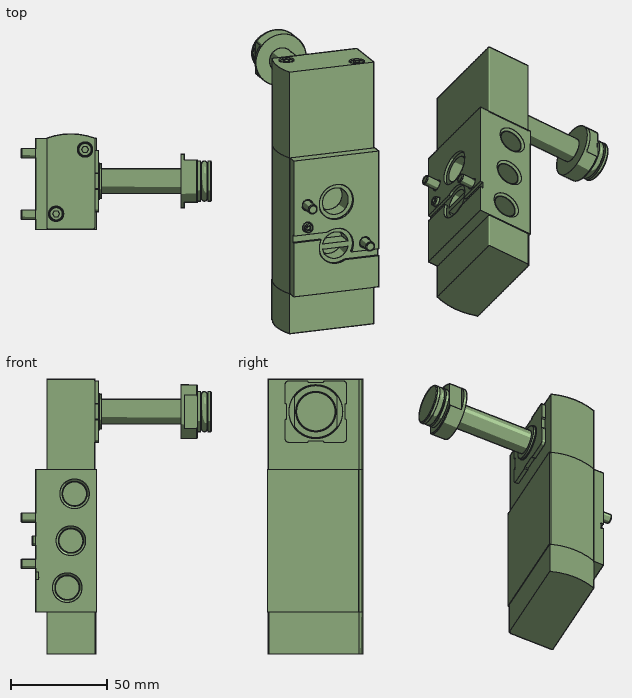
import cadquery as cq

TOTAL_LENGTH_X = 99.05
TOTAL_WIDTH_Y = 49.8
TOTAL_HEIGHT_Z = 143.0

BLOCK_DEPTH = 31.65
BLOCK_WIDTH = 47.4
BLOCK_HEIGHT = 74.2
BLOCK_MID_Z = BLOCK_HEIGHT / 2

PORT_DIAMETER = 12.4
PORT_MOUTH_FLOOR_DIAMETER = 13.0
PORT_MOUTH_DIAMETER = 15.4
PORT_MOUTH_DEPTH = 1.2
PORT_DEPTH = 14.0
PORT_MIDDLE_X = 18.3
PORT_STEP_X = 1.9
PORT_STEP_Z = 24.4

OUTLET_SPACING = 24.0
OUTLET_DIAMETER = 14.4
OUTLET_DEPTH = 10.5
SEAL_RECESS_DIAMETER = 19.0
SEAL_RECESS_DEPTH = 1.5
UPPER_OUTLET_Z = BLOCK_MID_Z + OUTLET_SPACING / 2
LOWER_OUTLET_Z = BLOCK_MID_Z - OUTLET_SPACING / 2
OUTLET_BAR_WIDTH = 2.9

VENT_WIDTH = 3.8
VENT_OFFSET_Z = 6.2

PIN_DIAMETER = 5.0
PIN_LENGTH = 7.65
PIN_CHAMFER = 0.5
PIN_HOLE_DIAMETER = 6.0
PIN_OFFSET_Y = 16.0
STUD_DIAMETER = 5.0
STUD_LENGTH = 2.0
STUD_CHAMFER = 0.5
STUD_HOLE_DIAMETER = 5.5
STUD_SOCKET_DIAMETER = 2.4
STUD_SOCKET_DEPTH = 1.5
PIN_GAP_DEPTH = 1.0

COVER_X_MIN = 5.78
COVER_X_MAX = 30.7
HEAD_HEIGHT = 46.9
CAP_PAD_X_MAX = 31.4
CAP_HEIGHT = TOTAL_HEIGHT_Z - BLOCK_HEIGHT - HEAD_HEIGHT
COVER_Y_MIN = -23.3
COVER_Y_EDGE = 23.9
COVER_Y_CROWN = TOTAL_WIDTH_Y - BLOCK_WIDTH / 2
COVER_EDGE_RADIUS = 0.5

SCREW_HOLE_DIAMETER = 8.0
SCREW_HOLE_DEPTH = 1.5
SCREW_HEAD_DIAMETER = 7.0
SCREW_HEAD_DROP = 0.4
SCREW_HEAD_CHAMFER = 0.3
SCREW_SOCKET_DIAMETER = 3.6
SCREW_SOCKET_DEPTH = 2.0
SCREW_CENTRES = [(25.65, 17.9), (10.6, -15.5)]

TUBE_Y = 1.5
TUBE_Z = 104.2
TUBE_DIAMETER = 13.0
PLATE_SIZE = 32.0
PLATE_X_MAX = 32.65
PLATE_CORNER_RADIUS = 2.0
PLATE_NOTCH_WIDTH = 8.5
PLATE_NOTCH_DEPTH = 0.8
PLATE_NOTCH_SLOPE = 0.4
COLLAR_BASE_DIAMETER = 19.0
COLLAR_BASE_X_MAX = 33.15
COLLAR_DIAMETER = 18.2
COLLAR_X_MAX = 34.1

NUT_X_MIN = 75.5
NUT_DIAMETER = 28.0
NUT_FLANGE_THICKNESS = 1.75
NUT_X_MAX = 84.2
NUT_CHAMFER = 0.5
NUT_ACROSS_FLATS = 22.0
TUBE_END_X = TOTAL_LENGTH_X - PIN_LENGTH
SEAL_END_DIAMETER = 21.0
SEAL_END_CHAMFER = 0.5
SEAL_GROOVE_DIAMETER = 17.0
SEAL_GROOVE_X_MIN = 85.8
SEAL_GROOVE_X_MAX = 89.5
RING_THICKNESS = 3.0


def cylinder_x(x_start, x_end, diameter, y, z):
    return cq.Workplane("YZ", origin=(x_start, y, z)).circle(diameter / 2).extrude(x_end - x_start)


def box_between(x_range, y_range, z_range):
    size = [end - start for start, end in (x_range, y_range, z_range)]
    corner = (x_range[0], y_range[0], z_range[0])
    return cq.Workplane("XY").box(*size, centered=False).translate(corner)


def port(x, z):
    face = cq.Workplane("XZ", origin=(x, -BLOCK_WIDTH / 2, z))
    bore = face.circle(PORT_DIAMETER / 2).extrude(-PORT_DEPTH)
    mouth = (
        face.circle(PORT_MOUTH_DIAMETER / 2)
        .workplane(offset=-PORT_MOUTH_DEPTH)
        .circle(PORT_MOUTH_FLOOR_DIAMETER / 2)
        .loft()
    )
    return bore.union(mouth)


def pin(y, z, diameter, length, chamfer):
    return cylinder_x(-length, PIN_GAP_DEPTH, diameter, y, z).faces("<X").chamfer(chamfer)


def curved_prism(z_min, height):
    return (
        cq.Workplane("XY", origin=(0, 0, z_min))
        .moveTo(COVER_X_MIN, COVER_Y_MIN)
        .lineTo(COVER_X_MAX, COVER_Y_MIN)
        .lineTo(COVER_X_MAX, COVER_Y_EDGE)
        .threePointArc(((COVER_X_MIN + COVER_X_MAX) / 2, COVER_Y_CROWN), (COVER_X_MIN, COVER_Y_EDGE))
        .close()
        .extrude(height)
    )


def outlets():
    upper = cylinder_x(0, OUTLET_DEPTH, OUTLET_DIAMETER, 0, UPPER_OUTLET_Z)
    lower = cylinder_x(0, OUTLET_DEPTH, OUTLET_DIAMETER, 0, LOWER_OUTLET_Z)
    bar = box_between(
        (0, OUTLET_DEPTH),
        (-OUTLET_DIAMETER, OUTLET_DIAMETER),
        (LOWER_OUTLET_Z - OUTLET_BAR_WIDTH / 2, LOWER_OUTLET_Z + OUTLET_BAR_WIDTH / 2),
    )
    cutter = upper.union(lower.cut(bar))
    for z in (UPPER_OUTLET_Z, LOWER_OUTLET_Z):
        cutter = cutter.union(cylinder_x(0, SEAL_RECESS_DEPTH, SEAL_RECESS_DIAMETER, 0, z))
    return cutter


def vent(side):
    middle_z = LOWER_OUTLET_Z + side * VENT_OFFSET_Z
    return box_between(
        (0, SEAL_RECESS_DEPTH),
        sorted((0, side * BLOCK_WIDTH / 2)),
        (middle_z - VENT_WIDTH / 2, middle_z + VENT_WIDTH / 2),
    )


def add_pins(block):
    for y, z in ((PIN_OFFSET_Y, UPPER_OUTLET_Z), (-PIN_OFFSET_Y, LOWER_OUTLET_Z)):
        block = block.cut(cylinder_x(0, PIN_GAP_DEPTH, PIN_HOLE_DIAMETER, y, z))
        block = block.union(pin(y, z, PIN_DIAMETER, PIN_LENGTH, PIN_CHAMFER))

    block = block.cut(cylinder_x(0, PIN_GAP_DEPTH, STUD_HOLE_DIAMETER, PIN_OFFSET_Y, BLOCK_MID_Z))
    block = block.union(pin(PIN_OFFSET_Y, BLOCK_MID_Z, STUD_DIAMETER, STUD_LENGTH, STUD_CHAMFER))
    socket_end = STUD_SOCKET_DEPTH - STUD_LENGTH
    socket = cylinder_x(-STUD_LENGTH, socket_end, STUD_SOCKET_DIAMETER, PIN_OFFSET_Y, BLOCK_MID_Z)
    return block.cut(socket)


def valve_block():
    half_width = BLOCK_WIDTH / 2
    block = box_between((0, BLOCK_DEPTH), (-half_width, half_width), (0, BLOCK_HEIGHT))
    block = block.union(curved_prism(0, BLOCK_HEIGHT))
    for row in (-1, 0, 1):
        block = block.cut(port(PORT_MIDDLE_X + row * PORT_STEP_X, BLOCK_MID_Z + row * PORT_STEP_Z))
    block = block.cut(outlets())
    for side in (-1, 1):
        block = block.cut(vent(side))
    return add_pins(block)


def rounded_cover(z_min, height):
    return curved_prism(z_min, height).edges("|Z and <Y").fillet(COVER_EDGE_RADIUS)


def sunk_screw_gap(x, y):
    top = cq.Workplane("XY", origin=(x, y, BLOCK_HEIGHT + HEAD_HEIGHT))
    hole = top.circle(SCREW_HOLE_DIAMETER / 2).extrude(-SCREW_HOLE_DEPTH)
    screw = (
        top.workplane(offset=-SCREW_HOLE_DEPTH)
        .circle(SCREW_HEAD_DIAMETER / 2)
        .extrude(SCREW_HOLE_DEPTH - SCREW_HEAD_DROP)
        .faces(">Z")
        .chamfer(SCREW_HEAD_CHAMFER)
    )
    socket = top.polygon(6, SCREW_SOCKET_DIAMETER).extrude(-SCREW_SOCKET_DEPTH)
    return hole.cut(screw).union(socket)


def pilot_head():
    head = rounded_cover(BLOCK_HEIGHT, HEAD_HEIGHT)
    for x, y in SCREW_CENTRES:
        head = head.cut(sunk_screw_gap(x, y))
    return head


def end_cap():
    pad = box_between(
        (COVER_X_MAX, CAP_PAD_X_MAX),
        (COVER_Y_MIN + COVER_EDGE_RADIUS, COVER_Y_EDGE),
        (-CAP_HEIGHT, 0),
    )
    return rounded_cover(-CAP_HEIGHT, CAP_HEIGHT).union(pad)


def mounting_plate():
    thickness = PLATE_X_MAX - COVER_X_MAX
    face = cq.Workplane("YZ", origin=(COVER_X_MAX, TUBE_Y, TUBE_Z))
    plate = face.rect(PLATE_SIZE, PLATE_SIZE).extrude(thickness).edges("|X").fillet(PLATE_CORNER_RADIUS)
    edge = PLATE_SIZE / 2
    notch_floor = edge - PLATE_NOTCH_DEPTH
    mouth_half_width = PLATE_NOTCH_WIDTH / 2
    floor_half_width = mouth_half_width - PLATE_NOTCH_SLOPE
    notch = (
        face.moveTo(-mouth_half_width, edge)
        .lineTo(mouth_half_width, edge)
        .lineTo(floor_half_width, notch_floor)
        .lineTo(-floor_half_width, notch_floor)
        .close()
        .extrude(thickness)
    )
    axis_start = (0, TUBE_Y, TUBE_Z)
    axis_end = (1, TUBE_Y, TUBE_Z)
    for quarter in range(4):
        plate = plate.cut(notch.rotate(axis_start, axis_end, 90 * quarter))
    return plate


def nut():
    body = cylinder_x(NUT_X_MIN, NUT_X_MAX, NUT_DIAMETER, TUBE_Y, TUBE_Z)
    body = body.faces(">X").chamfer(NUT_CHAMFER)
    for side in (-1, 1):
        flat_y = TUBE_Y + side * NUT_ACROSS_FLATS / 2
        outside_y = TUBE_Y + side * NUT_DIAMETER
        body = body.cut(
            box_between(
                (NUT_X_MIN + NUT_FLANGE_THICKNESS, NUT_X_MAX),
                sorted((flat_y, outside_y)),
                (TUBE_Z - NUT_DIAMETER, TUBE_Z + NUT_DIAMETER),
            )
        )
    return body


def seal_end():
    end = cylinder_x(NUT_X_MAX, TUBE_END_X, SEAL_END_DIAMETER, TUBE_Y, TUBE_Z)
    end = end.faces(">X").chamfer(SEAL_END_CHAMFER)
    groove = cylinder_x(SEAL_GROOVE_X_MIN, SEAL_GROOVE_X_MAX, NUT_DIAMETER, TUBE_Y, TUBE_Z)
    core = cylinder_x(SEAL_GROOVE_X_MIN, SEAL_GROOVE_X_MAX, SEAL_GROOVE_DIAMETER, TUBE_Y, TUBE_Z)
    ring_x = (SEAL_GROOVE_X_MIN + SEAL_GROOVE_X_MAX) / 2
    ring_radius = (SEAL_END_DIAMETER - RING_THICKNESS) / 2
    ring = (
        cq.Workplane("XY", origin=(ring_x, TUBE_Y, TUBE_Z))
        .center(0, ring_radius)
        .circle(RING_THICKNESS / 2)
        .revolve(360, (0, -ring_radius), (1, -ring_radius))
    )
    return end.cut(groove).union(core).union(ring)


def armature_tube():
    tube = cylinder_x(COVER_X_MAX, NUT_X_MIN, TUBE_DIAMETER, TUBE_Y, TUBE_Z)
    collar = cylinder_x(PLATE_X_MAX, COLLAR_X_MAX, COLLAR_DIAMETER, TUBE_Y, TUBE_Z)
    collar_base = cylinder_x(PLATE_X_MAX, COLLAR_BASE_X_MAX, COLLAR_BASE_DIAMETER, TUBE_Y, TUBE_Z)
    tube = tube.union(mounting_plate()).union(collar_base).union(collar)
    return tube.union(nut()).union(seal_end())


result = cq.Compound.makeCompound(
    [valve_block().val(), pilot_head().val(), end_cap().val(), armature_tube().val()]
)